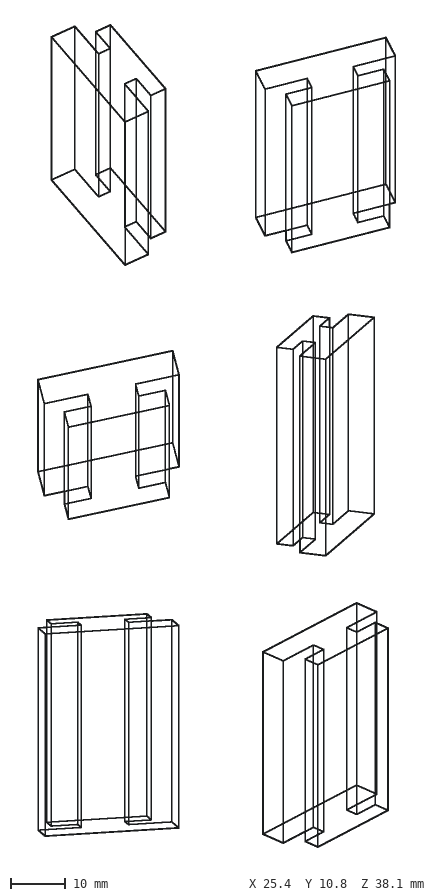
import cadquery as cq

height = 38.1
plate_width = 25.4
total_depth = 10.8

plate_thickness = 5.05
flange_width = 19.05
flange_thickness = 3.2
neck_width = 9.0
neck_depth = total_depth - plate_thickness - flange_thickness


def slab(width, thickness, front_y):
    """Full-height block centred on X, with its front face at front_y."""
    return (
        cq.Workplane("XY")
        .box(width, thickness, height, centered=(True, False, False))
        .translate((0, front_y, 0))
    )


plate = slab(plate_width, plate_thickness, 0)
neck = slab(neck_width, neck_depth, plate_thickness)
flange = slab(flange_width, flange_thickness, plate_thickness + neck_depth)

result = plate.union(neck).union(flange)